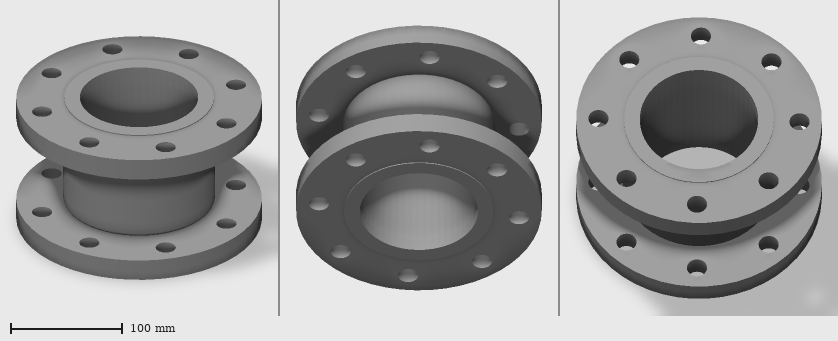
import cadquery as cq

total_length = 126.0
bore_diameter = 106.0

flange_diameter = 220.0
flange_thickness = 20.0
raised_face_diameter = 134.0
raised_face_height = 1.0

body_diameter = 136.0
body_edge_radius = 3.0

bolt_count = 8
bolt_circle_diameter = 180.0
bolt_hole_diameter = 18.0

flange_span = total_length - 2 * raised_face_height
body_length = flange_span - 2 * flange_thickness
half_bolt_pitch = 360.0 / bolt_count / 2


def cylinder(diameter, length, bottom):
    """Cylinder along Z that starts at the height `bottom`."""
    return cq.Workplane("XY").workplane(offset=bottom).circle(diameter / 2).extrude(length)


def make_body():
    """Pipe body between the flanges, with both end edges rounded."""
    body = cylinder(body_diameter, body_length, -body_length / 2)
    return body.edges("%CIRCLE").fillet(body_edge_radius)


def make_flange():
    """Upper flange: a disc with a raised sealing face on its outer side."""
    disc = cylinder(flange_diameter, flange_thickness, body_length / 2)
    raised_face = cylinder(raised_face_diameter, raised_face_height, flange_span / 2)
    return disc.union(raised_face)


def make_bolt_holes():
    """Holes through both flanges, straddling the X and Y axes."""
    return (
        cq.Workplane("XY")
        .workplane(offset=-total_length / 2)
        .polarArray(bolt_circle_diameter / 2, half_bolt_pitch, 360, bolt_count)
        .circle(bolt_hole_diameter / 2)
        .extrude(total_length)
    )


upper_flange = make_flange()
lower_flange = upper_flange.mirror("XY")

result = make_body().union(upper_flange).union(lower_flange)
result = result.cut(cylinder(bore_diameter, total_length, -total_length / 2))
result = result.cut(make_bolt_holes())